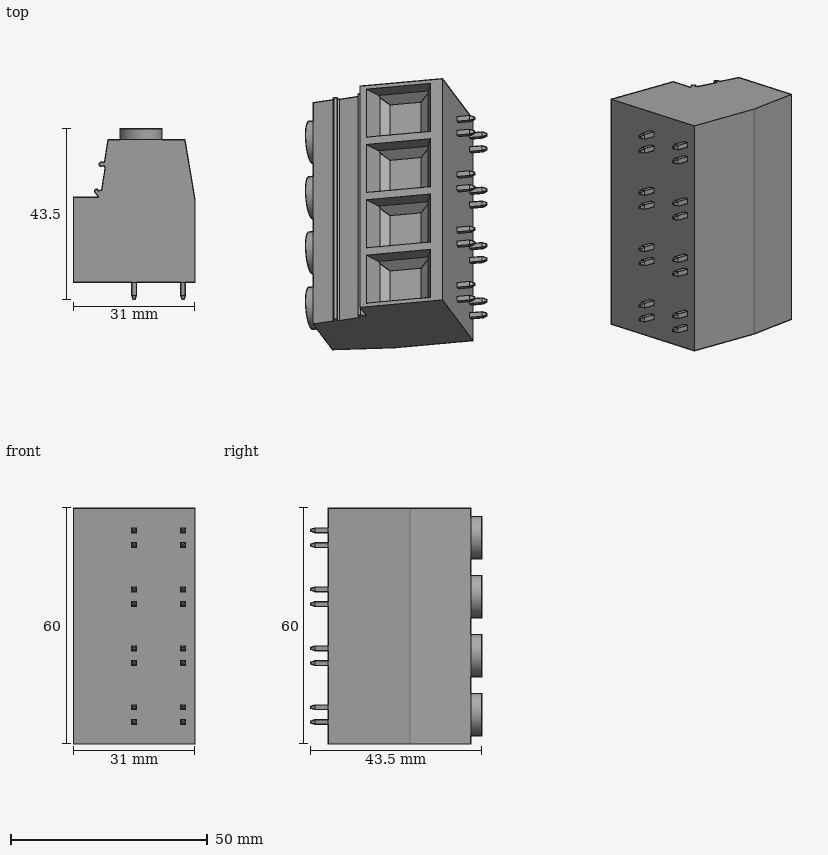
import cadquery as cq

pole_count = 4
pole_pitch = 15.0
body_length = pole_count * pole_pitch
body_depth = 31.0
body_height = 36.3
overall_height = 43.51

ledge_height = 21.7
back_slope_start = 20.8
top_front_x = 8.8
top_back_x = 28.4
front_slope = 0.158
face_recess = 0.4

upper_hook_top = 30.6
upper_hook_tip_x = 6.6
hook_bevel = 0.35
upper_hook_round_x = 6.6
upper_hook_round_y = 29.8
upper_hook_lip_x = 7.0
upper_hook_lip_y = 29.45
upper_hook_groove_x = 7.75
upper_hook_groove_y = 29.7
upper_hook_root = 29.1

lower_hook_root = 23.5
lower_hook_groove_x = 6.4
lower_hook_groove_y = 23.3
lower_hook_lip_x = 6.1
lower_hook_lip_y = 23.75
lower_hook_round_x = 5.6
lower_hook_round_y = 23.6
lower_hook_tip_x = 5.4
lower_hook_tip_y = 23.0
lower_hook_base_x = 6.4

screw_diameter = 10.8
screw_height = 2.8
screw_x = 17.2

pin_length = overall_height - body_height - screw_height
pin_width = 1.25
pin_tip_length = 1.1
pin_tip_width = 0.5
pin_row_x = (15.45, 27.9)
pin_spacing = 3.75

entry_centre_y = 11.6
entry_width = 13.0
entry_mouth_height = 16.8
entry_throat_height = 12.6
entry_throat_depth = 5.75
entry_side_depth = 5.25
entry_floor_width = 8.85
entry_floor_height = 8.15
entry_floor_depth = 7.35


def front_face_x(y):
    """X of the slanted front face at height y, above the upper hook."""
    return top_front_x - front_slope * (body_height - y)


def recessed_face_x(y):
    """X of the slanted front face at height y, between the two hooks."""
    return front_face_x(y) + face_recess


def make_body():
    """Extruded housing with the two marker-strip hooks on its slanted front face."""
    return (
        cq.Workplane("XY")
        .moveTo(0, 0)
        .lineTo(body_depth, 0)
        .lineTo(body_depth, back_slope_start)
        .lineTo(top_back_x, body_height)
        .lineTo(top_front_x, body_height)
        .lineTo(front_face_x(upper_hook_top), upper_hook_top)
        .lineTo(upper_hook_tip_x + hook_bevel, upper_hook_top)
        .lineTo(upper_hook_tip_x, upper_hook_top - hook_bevel)
        .threePointArc(
            (upper_hook_round_x, upper_hook_round_y),
            (upper_hook_lip_x, upper_hook_lip_y),
        )
        .lineTo(upper_hook_groove_x, upper_hook_groove_y)
        .lineTo(recessed_face_x(upper_hook_root), upper_hook_root)
        .lineTo(recessed_face_x(lower_hook_root), lower_hook_root)
        .lineTo(lower_hook_groove_x, lower_hook_groove_y)
        .lineTo(lower_hook_lip_x, lower_hook_lip_y)
        .threePointArc((lower_hook_round_x, lower_hook_round_y), (lower_hook_tip_x, lower_hook_tip_y))
        .lineTo(lower_hook_base_x, ledge_height)
        .lineTo(0, ledge_height)
        .close()
        .extrude(body_length)
    )


def make_entry(pole_z):
    """Wire entry: mouth narrowing in Y, then a funnel narrowing on all four sides.

    It is the overlap of a tapered outline in XY and a tapered outline in XZ.
    """
    across_y = (
        cq.Workplane("XY", origin=(0, entry_centre_y, pole_z - entry_width / 2))
        .moveTo(0, -entry_mouth_height / 2)
        .lineTo(entry_throat_depth, -entry_throat_height / 2)
        .lineTo(entry_floor_depth, -entry_floor_height / 2)
        .lineTo(entry_floor_depth, entry_floor_height / 2)
        .lineTo(entry_throat_depth, entry_throat_height / 2)
        .lineTo(0, entry_mouth_height / 2)
        .close()
        .extrude(entry_width)
    )
    across_z = (
        cq.Workplane("XZ", origin=(0, entry_centre_y + entry_mouth_height / 2, pole_z))
        .moveTo(0, -entry_width / 2)
        .lineTo(entry_side_depth, -entry_width / 2)
        .lineTo(entry_floor_depth, -entry_floor_width / 2)
        .lineTo(entry_floor_depth, entry_floor_width / 2)
        .lineTo(entry_side_depth, entry_width / 2)
        .lineTo(0, entry_width / 2)
        .close()
        .extrude(entry_mouth_height)
    )
    return across_y.intersect(across_z)


def make_screw(pole_z):
    """Round screw head standing on the top face."""
    plane = cq.Plane(origin=(screw_x, body_height, pole_z), xDir=(1, 0, 0), normal=(0, 1, 0))
    return cq.Workplane(plane).circle(screw_diameter / 2).extrude(screw_height)


def make_pin(x, z):
    """Square solder pin with a pyramidal tip, pointing to -Y."""
    shank_length = pin_length - pin_tip_length
    plane = cq.Plane(origin=(x, 0, z), xDir=(1, 0, 0), normal=(0, -1, 0))
    shank = cq.Workplane(plane).rect(pin_width, pin_width).extrude(shank_length)
    tip = (
        cq.Workplane(plane)
        .workplane(offset=shank_length)
        .rect(pin_width, pin_width)
        .workplane(offset=pin_tip_length)
        .rect(pin_tip_width, pin_tip_width)
        .loft(ruled=True)
    )
    return shank.union(tip)


result = make_body()
for pole in range(pole_count):
    pole_z = (pole + 0.5) * pole_pitch
    result = result.cut(make_entry(pole_z)).union(make_screw(pole_z))
    for pin_x in pin_row_x:
        for side in (-1, 1):
            result = result.union(make_pin(pin_x, pole_z + side * pin_spacing / 2))